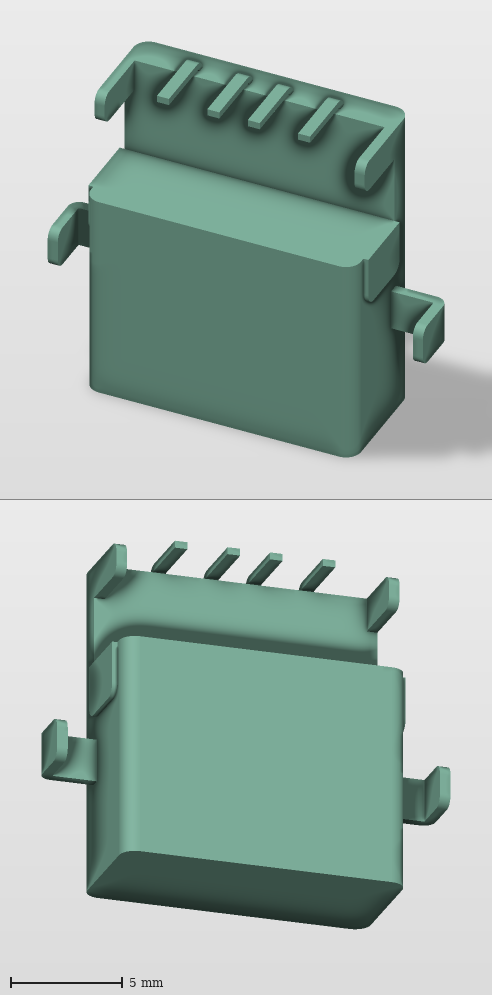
import cadquery as cq
import math

HOUSING_WIDTH = 13.4
HOUSING_DEPTH = 5.99
HOUSING_HEIGHT = 15.35
CORNER_RADIUS = 0.75
BLOCK_HEIGHT = 10.38
BACK_WALL_DEPTH = 1.7
SHEET = 0.5

ARM_REACH = 4.85
ARM_HEIGHT = 1.58

PAD_PROUD = 0.25
PAD_LENGTH = 3.3
PAD_HEIGHT = 2.53
PAD_RADIUS = 0.55

TAB_SPAN = 18.6
TAB_BACK_INSET = 1.56
TAB_LENGTH = 2.7
TAB_BOTTOM = 4.76
TAB_HEIGHT = 2.0
TAB_INNER_BEND = 0.05

CONTACT_CENTERS = (-3.5, -1.0, 1.0, 3.5)
CONTACT_WIDTH = 0.6
CONTACT_THICKNESS = 0.33
CONTACT_TOP = 15.85
CONTACT_REACH = 4.45
CONTACT_BACK_INSET = 0.87
CONTACT_BEND = 0.6

FINGER_WIDTH = 1.41
FINGER_THICKNESS = 0.43
FINGER_REACH = 2.62
FINGER_ROOT = 9.2
FINGER_ANGLE = 32.8

EMBED = 0.37
HALF_WIDTH = HOUSING_WIDTH / 2


def box(x_min, x_max, y_min, y_max, z_min, z_max):
    size = (x_max - x_min, y_max - y_min, z_max - z_min)
    return cq.Workplane("XY").box(*size, centered=False).translate((x_min, y_min, z_min))


def make_housing():
    body = (
        cq.Workplane("XY")
        .rect(HOUSING_WIDTH, HOUSING_DEPTH)
        .extrude(HOUSING_HEIGHT)
        .edges("|Z")
        .fillet(CORNER_RADIUS)
        .translate((0, HOUSING_DEPTH / 2, 0))
    )
    wall_front = HOUSING_DEPTH - BACK_WALL_DEPTH
    return body.cut(box(-HALF_WIDTH, HALF_WIDTH, 0, wall_front, BLOCK_HEIGHT, HOUSING_HEIGHT))


def make_arm():
    tip = HOUSING_DEPTH - ARM_REACH
    root = HOUSING_DEPTH - BACK_WALL_DEPTH + EMBED
    bottom = HOUSING_HEIGHT - ARM_HEIGHT
    arm = box(HALF_WIDTH - SHEET, HALF_WIDTH, tip, root, bottom, HOUSING_HEIGHT)
    return arm.edges("|X and <Y").fillet(SHEET)


def make_pad():
    back = HOUSING_DEPTH - BACK_WALL_DEPTH
    bottom = BLOCK_HEIGHT - PAD_HEIGHT
    pad = box(HALF_WIDTH - EMBED, HALF_WIDTH + PAD_PROUD, back - PAD_LENGTH, back, bottom, BLOCK_HEIGHT)
    return pad.edges("|X and <Z").fillet(PAD_RADIUS)


def make_tab():
    outer = TAB_SPAN / 2
    back = HOUSING_DEPTH - TAB_BACK_INSET
    tip = back - TAB_LENGTH
    top = TAB_BOTTOM + TAB_HEIGHT
    leg = box(outer - SHEET, outer, tip, back, TAB_BOTTOM, top)
    leg = leg.edges("|X and <Y").fillet(SHEET)
    web = box(HALF_WIDTH - EMBED, outer, back - SHEET, back, TAB_BOTTOM, top)
    tab = leg.union(web)
    tab = tab.edges("|Z and >X and >Y").fillet(TAB_INNER_BEND + SHEET)
    corner_middle = (outer - SHEET, back - SHEET, TAB_BOTTOM + TAB_HEIGHT / 2)
    inner_corner = cq.selectors.NearestToPointSelector(corner_middle)
    return tab.edges(inner_corner).fillet(TAB_INNER_BEND)


def make_contact(center):
    back = HOUSING_DEPTH - CONTACT_BACK_INSET
    tip = HOUSING_DEPTH - CONTACT_REACH
    bend_y = back - CONTACT_BEND
    bend_z = CONTACT_TOP - CONTACT_BEND
    inner_bend = CONTACT_BEND - CONTACT_THICKNESS
    root = HOUSING_HEIGHT - EMBED
    diagonal = math.sqrt(0.5)
    return (
        cq.Workplane("YZ")
        .moveTo(tip, CONTACT_TOP)
        .lineTo(bend_y, CONTACT_TOP)
        .threePointArc(
            (bend_y + CONTACT_BEND * diagonal, bend_z + CONTACT_BEND * diagonal),
            (back, bend_z),
        )
        .lineTo(back, root)
        .lineTo(back - CONTACT_THICKNESS, root)
        .lineTo(back - CONTACT_THICKNESS, bend_z)
        .threePointArc(
            (bend_y + inner_bend * diagonal, bend_z + inner_bend * diagonal),
            (bend_y, CONTACT_TOP - CONTACT_THICKNESS),
        )
        .lineTo(tip, CONTACT_TOP - CONTACT_THICKNESS)
        .close()
        .extrude(CONTACT_WIDTH / 2, both=True)
        .translate((center, 0, 0))
    )


def make_finger():
    length = FINGER_REACH / math.sin(math.radians(FINGER_ANGLE))
    half = FINGER_WIDTH / 2
    finger = (
        cq.Workplane("XZ")
        .moveTo(-half, -EMBED)
        .lineTo(-half, length - half)
        .threePointArc((0, length), (half, length - half))
        .lineTo(half, -EMBED)
        .close()
        .extrude(FINGER_THICKNESS)
    )
    finger = finger.rotate((0, 0, 0), (1, 0, 0), -FINGER_ANGLE)
    return finger.translate((0, HOUSING_DEPTH, FINGER_ROOT))


result = make_housing()
for side_feature in (make_arm(), make_pad(), make_tab()):
    result = result.union(side_feature).union(side_feature.mirror("YZ"))
for contact_center in CONTACT_CENTERS:
    result = result.union(make_contact(contact_center))
result = result.union(make_finger())